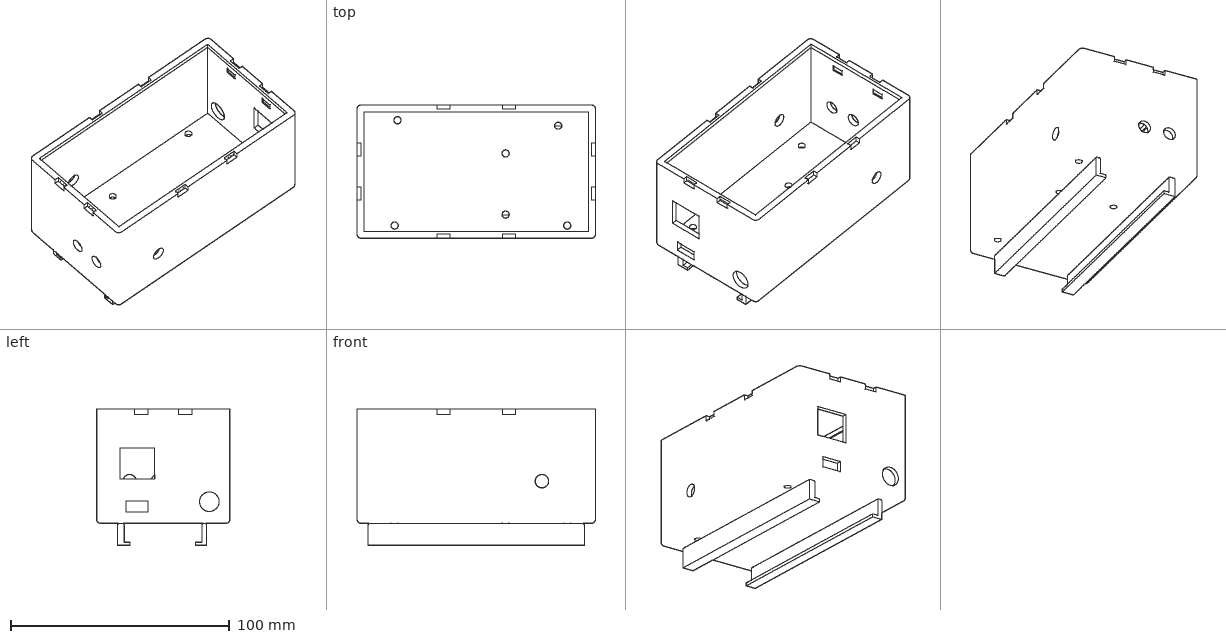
import cadquery as cq
length = 109.2
width = 61.0
total_height = 62.5

body_height = 52.4
wall = 2.5
floor_thickness = 2.5
corner_radius = 2.0
body_bottom = total_height - body_height
inner_length = length - 2 * wall
inner_width = width - 2 * wall

rim_width = 3.2
lip_height = 2.2

notch_width = 6.0
notch_height = 2.5
notch_depth = 2.0
notch_offset_x = 15.0
notch_offset_y = 10.0

snap_width = 5.5
snap_height = 2.7
snap_depth = 0.7
snap_drop = 6.3
snap_offset_y = 12.0

cable_hole_diameter = 6.0
cable_hole_z = total_height - 33.1
side_hole_x = 30.0
end_hole_centers_y = (15.4, 2.5)

socket_width = 15.9
socket_height = 14.1
socket_y = 11.9
socket_z = total_height - 25.0
port_width = 10.0
port_height = 5.0
port_y = 12.0
port_z = total_height - 44.7
jack_diameter = 9.0
jack_y = -21.1
jack_z = total_height - 42.5

screw_diameter = 3.2
screw_centers = [
    (-36.0, 23.5),
    (37.5, 21.0),
    (13.4, 8.3),
    (13.4, -19.7),
    (-37.3, -24.7),
    (41.6, -24.7),
]

rail_height = 10.2
rail_top_radius = 1.0
rail_length = 99.0
toe_thickness = 1.5
back_rail_outer_y = 21.0
back_rail_inner_y = 17.8
back_toe_tip_y = 15.2
front_rail_outer_y = -19.9
front_rail_inner_y = -17.7
front_toe_tip_y = -14.7


def block(size_x, size_y, size_z, center):
    return cq.Workplane("XY").box(size_x, size_y, size_z).translate(center)


def hole_along_x(diameter, y, z, x_start, depth):
    plane = cq.Workplane("YZ", origin=(x_start, y, z))
    return plane.circle(diameter / 2).extrude(depth)


def make_body():
    shell = cq.Workplane("XY").workplane(offset=body_bottom).rect(length, width).extrude(body_height)
    shell = shell.edges("|Z").fillet(corner_radius)
    shell = shell.faces("<Z").edges().fillet(corner_radius)
    cavity_bottom = body_bottom + floor_thickness
    cavity_height = body_height - floor_thickness - lip_height
    cavity_z = cavity_bottom + cavity_height / 2
    shell = shell.cut(block(inner_length, inner_width, cavity_height, (0, 0, cavity_z)))
    mouth_z = total_height - lip_height / 2
    return shell.cut(block(length - 2 * rim_width, width - 2 * rim_width, lip_height, (0, 0, mouth_z)))


def make_rail(outer_y, inner_y, toe_tip_y):
    profile = [
        (outer_y, 0),
        (toe_tip_y, 0),
        (toe_tip_y, toe_thickness),
        (inner_y, toe_thickness),
        (inner_y, rail_height),
        (outer_y, rail_height),
    ]
    plane = cq.Workplane("YZ", origin=(-rail_length / 2, 0, 0))
    rail = plane.polyline(profile).close().extrude(rail_length)
    return rail.faces(">Z").edges().fillet(rail_top_radius)


def cut_rim_notches(part):
    z = total_height - notch_height / 2
    edge_x = (length - notch_depth) / 2
    edge_y = (width - notch_depth) / 2
    for side in (-1, 1):
        for place in (-1, 1):
            long_side = (place * notch_offset_x, side * edge_y, z)
            part = part.cut(block(notch_width, notch_depth, notch_height, long_side))
            short_side = (side * edge_x, place * notch_offset_y, z)
            part = part.cut(block(notch_depth, notch_width, notch_height, short_side))
    return part


def cut_snap_slots(part):
    z = total_height - snap_drop - snap_height / 2
    x = (inner_length + snap_depth) / 2
    for side in (-1, 1):
        for place in (-1, 1):
            center = (side * x, place * snap_offset_y, z)
            part = part.cut(block(snap_depth, snap_width, snap_height, center))
    return part


def cut_cable_holes(part):
    side_plane = cq.Workplane("XZ", origin=(side_hole_x, width / 2, cable_hole_z))
    part = part.cut(side_plane.circle(cable_hole_diameter / 2).extrude(width))
    for y in end_hole_centers_y:
        part = part.cut(hole_along_x(cable_hole_diameter, y, cable_hole_z, inner_length / 2, wall))
    return part


def cut_connector_openings(part):
    x = -(length - wall) / 2
    part = part.cut(block(wall, socket_width, socket_height, (x, socket_y, socket_z)))
    part = part.cut(block(wall, port_width, port_height, (x, port_y, port_z)))
    return part.cut(hole_along_x(jack_diameter, jack_y, jack_z, -length / 2, wall))


def cut_screw_holes(part):
    floor_plane = cq.Workplane("XY", origin=(0, 0, body_bottom))
    return part.cut(floor_plane.pushPoints(screw_centers).circle(screw_diameter / 2).extrude(floor_thickness))


body = make_body()
body = cut_rim_notches(body)
body = cut_snap_slots(body)
body = cut_cable_holes(body)
body = cut_connector_openings(body)
body = cut_screw_holes(body)

back_rail = make_rail(back_rail_outer_y, back_rail_inner_y, back_toe_tip_y)
front_rail = make_rail(front_rail_outer_y, front_rail_inner_y, front_toe_tip_y)
result = body.union(back_rail).union(front_rail)